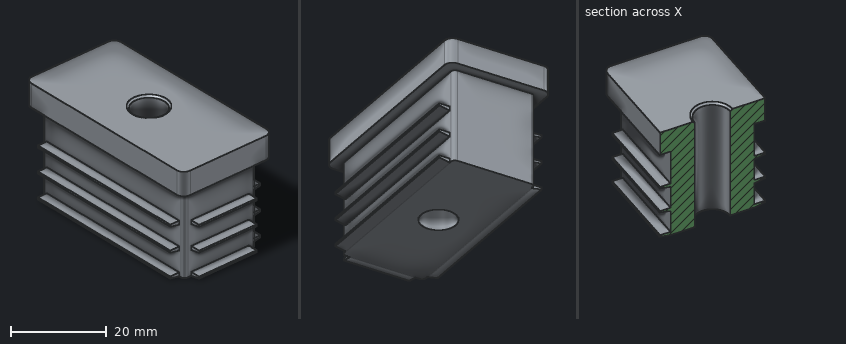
import cadquery as cq

cap_length = 50.0
cap_width = 25.0
cap_height = 6.0
cap_corner_radius = 2.0

body_length = 45.0
body_width = 20.0
body_height = 22.0
body_corner_radius = 1.0

hole_diameter = 8.38
hole_chamfer = 0.5
hole_chamfer_angle = 90.0

fin_count = 3
fin_pitch = 6.35
fin_root_thickness = 1.0
fin_tip_thickness = 0.5
long_fin_end_margin = 1.5
short_fin_end_margin = 2.0
fin_reach = (cap_width - body_width) / 2
fin_root_overlap = 0.5


def rounded_block(length, width, height, corner_radius, base_z):
    block = cq.Workplane("XY").box(length, width, height, centered=(True, True, False))
    return block.edges("|Z").fillet(corner_radius).translate((0, 0, base_z))


def fin(face_distance, fin_length, base_z, angle):
    """Fin standing on the body side that faces `angle` degrees from +X."""
    root_top = base_z + fin_root_thickness
    tip = face_distance + fin_reach
    buried = face_distance - fin_root_overlap
    profile = [
        (buried, base_z),
        (face_distance, base_z),
        (tip, root_top - fin_tip_thickness),
        (tip, root_top),
        (buried, root_top),
    ]
    blade = cq.Workplane("XZ").polyline(profile).close().extrude(fin_length / 2, both=True)
    return blade.rotate((0, 0, 0), (0, 0, 1), angle)


def add_fins(part):
    long_fin = body_length - 2 * long_fin_end_margin
    short_fin = body_width - 2 * short_fin_end_margin
    finned_sides = [
        (body_length / 2, short_fin, 0),
        (body_width / 2, long_fin, 90),
        (body_width / 2, long_fin, -90),
    ]
    for level in range(fin_count):
        for face_distance, fin_length, angle in finned_sides:
            part = part.union(fin(face_distance, fin_length, level * fin_pitch, angle))
    return part


def cut_hole(part):
    return part.faces(">Z").workplane(origin=(0, 0, 0)).cskHole(
        hole_diameter, hole_diameter + 2 * hole_chamfer, hole_chamfer_angle
    )


body = rounded_block(body_length, body_width, body_height, body_corner_radius, 0)
cap = rounded_block(cap_length, cap_width, cap_height, cap_corner_radius, body_height)
result = cut_hole(add_fins(body.union(cap)))